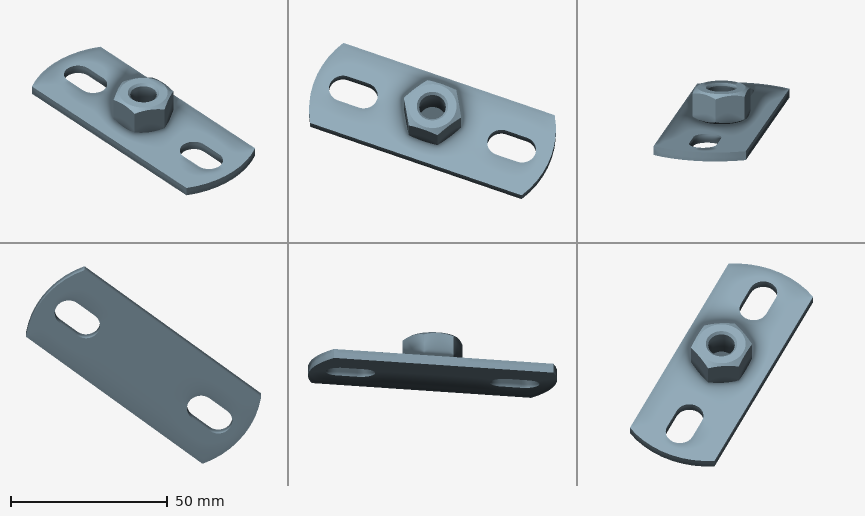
import cadquery as cq
import math

length = 80.0
width = 30.0
total_height = 13.0
end_bulge = 4.0

slot_length = 16.0
slot_width = 9.0
slot_offset = 27.0

nut_height = 10.0
across_flats = 17.0
face_diameter = 15.4
chamfer_angle = 30.0
bore_diameter = 8.5
bore_mouth_diameter = 10.0

plate_thickness = total_height - nut_height
across_corners = across_flats / math.cos(math.pi / 6)


def make_plate():
    """Flat strip with arc ends and a lengthwise slot near each end."""
    end_x = length / 2
    corner_x = end_x - end_bulge
    half_width = width / 2
    plate = (
        cq.Workplane("XY")
        .moveTo(-corner_x, -half_width)
        .lineTo(corner_x, -half_width)
        .threePointArc((end_x, 0), (corner_x, half_width))
        .lineTo(-corner_x, half_width)
        .threePointArc((-end_x, 0), (-corner_x, -half_width))
        .close()
        .extrude(plate_thickness)
    )
    slots = (
        cq.Workplane("XY")
        .pushPoints([(-slot_offset, 0), (slot_offset, 0)])
        .slot2D(slot_length, slot_width)
        .extrude(plate_thickness)
    )
    return plate.cut(slots)


def make_nut():
    """Hexagon nut standing on Z = 0, corners along X, chamfered at both faces."""
    hexagon = cq.Workplane("XY").polygon(6, across_corners).extrude(nut_height)

    face_radius = face_diameter / 2
    corner_radius = across_corners / 2
    corner_drop = (corner_radius - face_radius) * math.tan(math.radians(chamfer_angle))
    envelope = (
        cq.Workplane("XZ")
        .moveTo(0, 0)
        .lineTo(face_radius, 0)
        .lineTo(corner_radius, corner_drop)
        .lineTo(corner_radius, nut_height - corner_drop)
        .lineTo(face_radius, nut_height)
        .lineTo(0, nut_height)
        .close()
        .revolve(360, (0, 0), (0, 1))
    )

    bore_radius = bore_diameter / 2
    mouth_radius = bore_mouth_diameter / 2
    mouth_depth = mouth_radius - bore_radius
    bore = (
        cq.Workplane("XZ")
        .moveTo(0, 0)
        .lineTo(bore_radius, 0)
        .lineTo(bore_radius, nut_height - mouth_depth)
        .lineTo(mouth_radius, nut_height)
        .lineTo(0, nut_height)
        .close()
        .revolve(360, (0, 0), (0, 1))
    )
    return hexagon.intersect(envelope).cut(bore)


nut = make_nut().translate((0, 0, plate_thickness))
result = make_plate().union(nut)